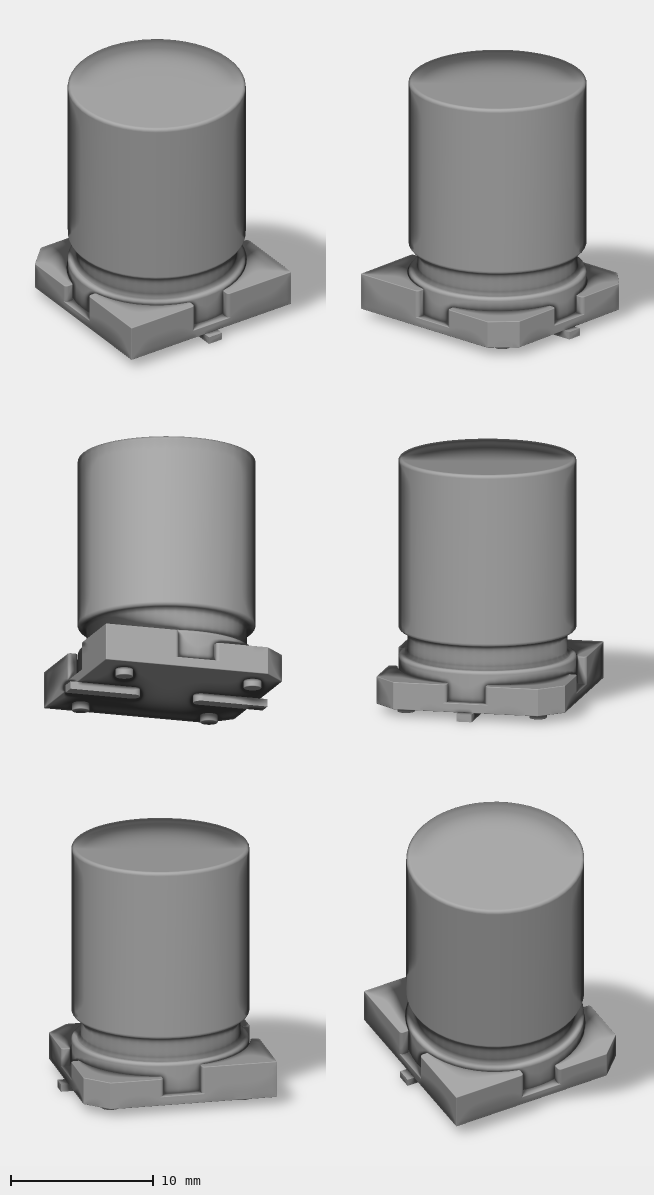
import cadquery as cq
import math


total_height = 17.5
lead_span = 14.6
foot_height = 0.55

base_width = 13.6
base_corner_cut = 1.6
base_edge_radius = 0.05
low_block_top = 2.5
high_block_top = 3.17
seat_height = 1.2
seat_clearance = 0.07
slot_width = 2.78
slot_mouth_radius = 0.25
slot_pocket_radius = 0.12

can_diameter = 12.5
groove_diameter = 11.25
groove_bottom = 3.43
groove_top = 5.16
can_rounding = 0.25

foot_diameter = 1.25
foot_edge_radius = 0.05
foot_spacing = 9.5
lead_width = 1.1
lead_gap = 3.99

half_base = base_width / 2
can_radius = can_diameter / 2
groove_radius = groove_diameter / 2
pocket_radius = can_radius + seat_clearance


def make_base_plate():
    """Square plate with two cut corners and a rounded upper rim, below the pocket floor."""
    return (
        cq.Workplane("XY", origin=(0, 0, foot_height))
        .rect(base_width, base_width)
        .extrude(seat_height - foot_height)
        .edges("|Z and <X")
        .chamfer(base_corner_cut)
        .faces(">Z")
        .edges()
        .fillet(base_edge_radius)
    )


def make_corner_block(side_x, side_y, block_top):
    """Full-height block in one corner of the base, hollowed by the round can pocket."""
    slot_side = slot_width / 2
    size = half_base - slot_side
    center = slot_side + size / 2
    height = block_top - foot_height

    def upright_edge(x, y):
        return cq.selectors.NearestToPointSelector((side_x * x, side_y * y, foot_height + height / 2))

    block = (
        cq.Workplane("XY", origin=(0, 0, foot_height))
        .center(side_x * center, side_y * center)
        .rect(size, size)
        .extrude(height)
    )
    if side_x < 0:
        block = block.edges(upright_edge(half_base, half_base)).chamfer(base_corner_cut)
    pocket = cq.Workplane("XY", origin=(0, 0, foot_height)).circle(pocket_radius).extrude(height)
    block = block.cut(pocket)

    pocket_reach = math.sqrt(pocket_radius**2 - slot_side**2)
    for reach, radius in ((half_base, slot_mouth_radius), (pocket_reach, slot_pocket_radius)):
        block = block.edges(upright_edge(slot_side, reach)).fillet(radius)
        block = block.edges(upright_edge(reach, slot_side)).fillet(radius)
    return block


def outer_corner_points():
    """Plan positions of the six upright corners of the base."""
    cut_end = half_base - base_corner_cut
    points = []
    for side_y in (-1, 1):
        points.append((half_base, side_y * half_base))
        points.append((-half_base, side_y * cut_end))
        points.append((-cut_end, side_y * half_base))
    return points


def make_base():
    base = make_base_plate()
    for side_x, block_top in ((-1, low_block_top), (1, high_block_top)):
        for side_y in (-1, 1):
            base = base.union(make_corner_block(side_x, side_y, block_top))
    base = base.clean()

    rounded = base.faces("|Z").faces("<Z or >Z or >Z[-2]").edges()
    for x, y in outer_corner_points():
        corner = cq.selectors.NearestToPointSelector((x, y, seat_height))
        rounded = rounded.add(base.edges("|Z").edges(corner))
    return rounded.fillet(base_edge_radius)


def make_can():
    """Revolved can with a crimp groove; its rims and the groove corners are rounded."""
    r = can_rounding
    profile = (
        cq.Workplane("XZ")
        .moveTo(0, seat_height)
        .lineTo(can_radius, seat_height)
        .lineTo(can_radius, groove_bottom - r)
        .radiusArc((can_radius - r, groove_bottom), -r)
        .lineTo(groove_radius + r, groove_bottom)
        .radiusArc((groove_radius, groove_bottom + r), r)
        .lineTo(groove_radius, groove_top - r)
        .radiusArc((groove_radius + r, groove_top), r)
        .lineTo(can_radius - r, groove_top)
        .radiusArc((can_radius, groove_top + r), -r)
        .lineTo(can_radius, total_height - r)
        .radiusArc((can_radius - r, total_height), -r)
        .lineTo(0, total_height)
        .close()
    )
    return profile.revolve(360, (0, 0, 0), (0, 1, 0))


def make_feet():
    """Four round feet with rounded rims, one under each corner of the base."""
    return (
        cq.Workplane("XY")
        .rect(foot_spacing, foot_spacing, forConstruction=True)
        .vertices()
        .circle(foot_diameter / 2)
        .extrude(foot_height)
        .edges("%CIRCLE")
        .fillet(foot_edge_radius)
    )


def make_lead(side):
    """Flat lead with a full-round inner end, reaching out past the base along X."""
    half_width = lead_width / 2
    outer_end = side * lead_span / 2
    inner_end = side * lead_gap / 2
    round_start = inner_end + side * half_width
    return (
        cq.Workplane("XY")
        .moveTo(outer_end, -half_width)
        .lineTo(round_start, -half_width)
        .threePointArc((inner_end, 0), (round_start, half_width))
        .lineTo(outer_end, half_width)
        .close()
        .extrude(foot_height)
    )


result = make_base().union(make_can()).union(make_feet())
for lead_side in (-1, 1):
    result = result.union(make_lead(lead_side))